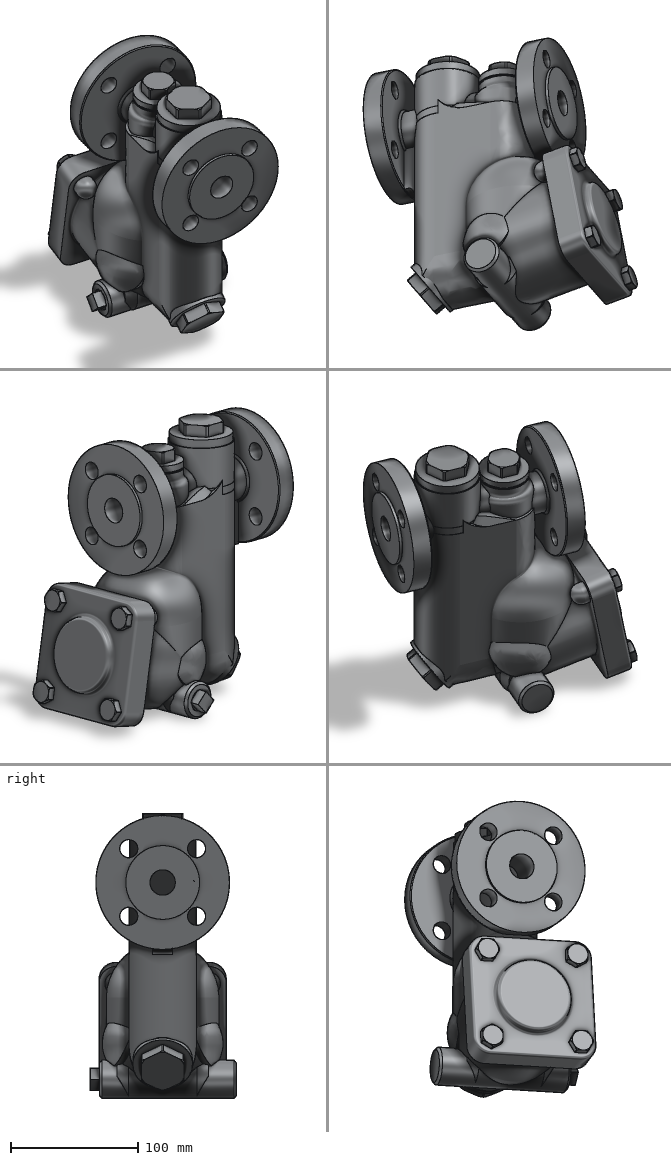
import cadquery as cq
import math


inlet_face_x = -50.0
outlet_face_x = 100.2
flange_diameter = 105.0
flange_thickness = 15.9
flange_rounding = 1.0
raised_face_diameter = 58.0
raised_face_height = 2.5
port_diameter = 20.0
port_depth = 44.7
bolt_circle_diameter = 75.1
bolt_hole_diameter = 14.0
inlet_neck_diameter = 33.3
outlet_neck_diameter = 36.7
neck_flare = 1.8

tower_spacing = 47.9
tower_half_width = 26.4
inlet_tower_reach = 24.0
inlet_head_radius = 23.7
outlet_head_diameter = 52.0
tower_side_top_z = -1.3
web_middle_x = 22.1
web_middle_z = 5.1
web_peak_x = 45.2
web_peak_z = 10.5
tower_side_bottom_z = -129.5
tower_bottom_z = -161.0

cross_tube_radius = 15.7
cross_tube_z = 7.2

dome_radius = 44.3
dome_x = -14.3
dome_z = -90.5
dome_seam_fillet = 1.5
strainer_tilt = 10.0
skirt_z = -114.0
elbow_z = -123.5

cover_side = 100.0
cover_corner_radius = 13.5
cover_thickness = 9.6
cover_edge_rounding = 2.2
body_flange_thickness = 11.6
cover_distance = 68.6
cover_bolt_spacing = 73.1

drain_x = -4.7
drain_z = -154.5
drain_diameter = 30.0
drain_front_y = -49.6
drain_back_y = 58.0
drain_plug_y = -57.0
drain_chamfer = 2.0
drain_square_side = 12.5
drain_recess_diameter = 17.0
drain_recess_depth = 1.3

swell_radius = 38.0
swell_reach = 47.5
swell_rim_z = -120.7
swell_rim_radius = 24.1
swell_rim_x = -0.5
swell_x = -7.8
swell_z = -126.3

hex_chamfer_height = 0.7
hex_chamfer_inset = 1.1

plug_angle = 35.0
plug_seat_x = 60.4
plug_seat_z = -141.3


def cylinder(origin, direction, radius, length):
    return cq.Workplane(cq.Solid.makeCylinder(radius, length, cq.Vector(*origin), cq.Vector(*direction)))


def ball(center, radius):
    return cq.Workplane("XY").sphere(radius).translate(center)


def hex_head(across_flats, corner_diameter, height, turn=0):
    """Hexagonal head standing on the XY plane, its corners trimmed to a circle."""
    prism = cq.Workplane("XY").polygon(6, across_flats / math.cos(math.radians(30))).extrude(height)
    rounds = cq.Workplane("XY").circle(corner_diameter / 2).extrude(height)
    rounds = rounds.faces(">Z").chamfer(hex_chamfer_height, hex_chamfer_inset)
    return prism.intersect(rounds).rotate((0, 0, 0), (0, 0, 1), turn)


def pipe_end(face_x, inward, neck_diameter, tower_x):
    """Flange with raised face and a neck to the tower; `inward` is +1 or -1 along X."""
    back = raised_face_height + flange_thickness
    reach = abs(tower_x - face_x)
    neck = neck_diameter / 2
    profile = (
        cq.Workplane("XY")
        .lineTo(0, raised_face_diameter / 2)
        .lineTo(raised_face_height, raised_face_diameter / 2)
        .lineTo(raised_face_height, flange_diameter / 2)
        .lineTo(back - flange_rounding, flange_diameter / 2)
        .lineTo(back, flange_diameter / 2 - flange_rounding)
        .lineTo(back, neck + neck_flare)
        .radiusArc((back + neck_flare, neck), neck_flare)
        .lineTo(reach, neck)
        .lineTo(reach, 0)
        .close()
    )
    end = profile.revolve(360, (0, 0, 0), (1, 0, 0))
    holes = (
        cq.Workplane("YZ")
        .polarArray(bolt_circle_diameter / 2, 45, 360, 4)
        .circle(bolt_hole_diameter / 2)
        .extrude(back)
    )
    end = end.cut(holes)
    if inward < 0:
        end = end.mirror("YZ")
    return end.translate((face_x, 0, 0))


def port(face_x, inward):
    return cylinder((face_x, 0, 0), (inward, 0, 0), port_diameter / 2, port_depth)


def tower_outline():
    """Flat-sided web between a half ellipse at the inlet and a half circle at the outlet."""
    return (
        cq.Workplane("XY")
        .moveTo(0, tower_half_width)
        .lineTo(tower_spacing, tower_half_width)
        .threePointArc((tower_spacing + tower_half_width, 0), (tower_spacing, -tower_half_width))
        .lineTo(0, -tower_half_width)
        .ellipseArc(inlet_tower_reach, tower_half_width, 90, 270, sense=-1, startAtCurrent=True)
        .close()
    )


def tower_body():
    body = tower_outline().extrude(tower_side_top_z - tower_bottom_z).translate((0, 0, tower_bottom_z))
    underside_length = 134.2
    underside = (
        cq.Workplane("YZ", origin=(-underside_length / 2, 0, 0))
        .moveTo(tower_half_width, tower_side_bottom_z)
        .lineTo(tower_half_width, tower_side_top_z)
        .lineTo(-tower_half_width, tower_side_top_z)
        .lineTo(-tower_half_width, tower_side_bottom_z)
        .ellipseArc(tower_half_width, tower_side_bottom_z - tower_bottom_z, 180, 360, startAtCurrent=True)
        .close()
        .extrude(2 * underside_length)
    )
    return body.intersect(underside)


def web_side():
    """Upper end of the flat web sides, sweeping up toward the outlet tower."""
    web_sweep_x = 34.9
    web_sweep_z = 2.2
    return (
        cq.Workplane("XZ", origin=(0, tower_half_width, 0))
        .moveTo(web_middle_x, tower_side_top_z)
        .threePointArc((web_sweep_x, web_sweep_z), (web_peak_x, web_peak_z))
        .lineTo(web_peak_x, tower_side_top_z)
        .close()
        .extrude(2 * tower_half_width)
    )


def web_crest():
    """Crest rising from the inlet tower to the outlet tower, with sloping flanks."""
    crest_half_width = 17.9
    ridge = (
        cq.Workplane("XZ", origin=(0, tower_half_width, 0))
        .moveTo(0, tower_side_top_z)
        .lineTo(web_middle_x, web_middle_z)
        .lineTo(web_peak_x, web_peak_z)
        .lineTo(web_peak_x, tower_side_top_z)
        .close()
        .extrude(2 * tower_half_width)
    )
    flanks = (
        cq.Workplane("YZ")
        .moveTo(-tower_half_width, tower_side_top_z)
        .lineTo(-crest_half_width, web_peak_z)
        .lineTo(crest_half_width, web_peak_z)
        .lineTo(tower_half_width, tower_side_top_z)
        .close()
        .extrude(tower_spacing)
    )
    return ridge.intersect(flanks)


def inlet_tower_head():
    """Upper end of the inlet tower with its plug."""
    shoulder_z = 11.0
    neck_radius = 20.0
    neck_bottom_z = 19.7
    flare_radius = 21.0
    flare_z = 16.8
    neck_top_z = 24.8
    cap_bottom_z = 26.0
    cap_top_z = 31.5
    groove_radius = 19.0
    hex_across_flats = 24.0
    hex_corner_diameter = 26.8
    hex_height = 9.6
    return (
        cq.Workplane("XZ")
        .moveTo(0, tower_side_top_z)
        .lineTo(inlet_head_radius, tower_side_top_z)
        .lineTo(inlet_head_radius, shoulder_z)
        .radiusArc((flare_radius, flare_z), -6.7)
        .radiusArc((neck_radius, neck_bottom_z), 4.5)
        .lineTo(neck_radius, neck_top_z)
        .lineTo(groove_radius, neck_top_z)
        .lineTo(groove_radius, cap_bottom_z)
        .lineTo(neck_radius, cap_bottom_z)
        .lineTo(neck_radius, cap_top_z)
        .lineTo(0, cap_top_z)
        .close()
        .revolve(360, (0, 0, 0), (0, 1, 0))
        .union(hex_head(hex_across_flats, hex_corner_diameter, hex_height).translate((0, 0, cap_top_z)))
    )


def outlet_tower_head():
    head_top_z = 38.0
    cap_diameter = 50.0
    cap_top_z = 44.7
    hex_top_z = 54.0
    hex_across_flats = 32.0
    hex_corner_diameter = 35.8
    outlet_base_radius = 26.2
    base_height = web_middle_z - tower_side_top_z
    head_radius = outlet_head_diameter / 2
    head = cylinder((0, 0, tower_side_top_z), (0, 0, 1), outlet_base_radius, base_height)
    head = head.union(cylinder((0, 0, web_middle_z), (0, 0, 1), head_radius, head_top_z - web_middle_z))
    head = head.union(cylinder((0, 0, head_top_z), (0, 0, 1), cap_diameter / 2, cap_top_z - head_top_z))
    hexagon = hex_head(hex_across_flats, hex_corner_diameter, hex_top_z - cap_top_z)
    head = head.union(hexagon.translate((0, 0, cap_top_z)))
    return head.translate((tower_spacing, 0, 0))


def outlet_rib():
    """Upright rib between the outlet tower and its flange, its foot curving into the tower."""
    thickness = 15.7
    foot_radius = 4.0
    end_x = outlet_face_x - raised_face_height - flange_thickness
    bottom_z = -flange_diameter / 2
    foot_x = tower_spacing + tower_half_width
    return (
        cq.Workplane("XZ", origin=(0, thickness / 2, 0))
        .moveTo(tower_spacing, 0)
        .lineTo(end_x, 0)
        .lineTo(end_x, bottom_z)
        .lineTo(foot_x + foot_radius, bottom_z)
        .radiusArc((foot_x, bottom_z - foot_radius), -foot_radius)
        .lineTo(tower_spacing, bottom_z - foot_radius)
        .close()
        .extrude(thickness)
    )


def tilted_plug(shape):
    """Turn a shape built along +Z so that it points outward along the clean-out axis."""
    return shape.rotate((0, 0, 0), (0, 1, 0), 90 + plug_angle).translate((plug_seat_x, 0, plug_seat_z))


def clean_out():
    disc_radius = 23.5
    plug_across_flats = 33.5
    plug_corner_diameter = 38.0
    plug_head_height = 9.2
    buried_depth = 4.5
    disc_thickness = 2.7
    disc = cylinder((0, 0, -buried_depth), (0, 0, 1), disc_radius, buried_depth + disc_thickness)
    head = hex_head(plug_across_flats, plug_corner_diameter, plug_head_height)
    head = head.translate((0, 0, disc_thickness))
    return tilted_plug(disc.union(head))


def corner_waste():
    size = 134.2
    return tilted_plug(cq.Workplane("XY").box(size, size, size, centered=(True, True, False)))


def tilted_strainer(shape):
    """Turn a shape built along +Z from the elbow so that it points along the strainer axis."""
    return shape.rotate((0, 0, 0), (0, 1, 0), strainer_tilt - 90).translate((dome_x, 0, elbow_z))


def dome():
    shape = ball((dome_x, 0, dome_z), dome_radius)
    upper_half = cylinder((dome_x, 0, dome_z), (0, 0, 1), dome_radius, dome_radius)
    skirt = cylinder((dome_x, 0, skirt_z), (0, 0, 1), dome_radius, dome_z - skirt_z)
    return shape.intersect(upper_half).union(skirt)


def elbow():
    """Round lower end of the dome, where the strainer barrel branches off."""
    shape = cylinder((dome_x, 0, elbow_z), (0, 0, 1), dome_radius, skirt_z - elbow_z)
    return shape.union(ball((dome_x, 0, elbow_z), dome_radius))


def square_plate(thickness):
    plate = cq.Workplane("XY").rect(cover_side, cover_side).extrude(thickness)
    return plate.edges("|Z").fillet(cover_corner_radius)


def strainer():
    barrel_flare = 1.8
    flange_z = cover_distance - cover_thickness - body_flange_thickness
    shape = (
        cq.Workplane("XZ")
        .lineTo(dome_radius, 0)
        .lineTo(dome_radius, flange_z - barrel_flare)
        .radiusArc((dome_radius + barrel_flare, flange_z), barrel_flare)
        .lineTo(0, flange_z)
        .close()
        .revolve(360, (0, 0, 0), (0, 1, 0))
    )
    shape = shape.union(square_plate(body_flange_thickness).translate((0, 0, flange_z)))
    cover = square_plate(cover_thickness).faces(">Z").edges().fillet(cover_edge_rounding)
    cover = cover.union(cover_disc().translate((0, 0, cover_thickness)))
    shape = shape.union(cover.translate((0, 0, cover_distance - cover_thickness)))
    half = cover_bolt_spacing / 2
    bolt_across_flats = 16.5
    bolt_corner_diameter = 18.8
    bolt_head_height = 6.3
    for x, y, turn in ((half, half, 30), (half, -half, 0), (-half, half, 0), (-half, -half, 30)):
        head = hex_head(bolt_across_flats, bolt_corner_diameter, bolt_head_height, turn)
        shape = shape.union(head.translate((x, y, cover_distance)))
    boss_radius = 8.7
    boss_length = 4.0
    for y in (half, -half):
        boss = cylinder((half, y, flange_z), (0, 0, -1), boss_radius, boss_length)
        boss = boss.union(ball((half, y, flange_z - boss_length), boss_radius))
        shape = shape.union(boss)
    return tilted_strainer(shape)


def cover_disc():
    """Raised round center of the cover with a hollow foot and a rounded rim."""
    blend = 3.0
    foot_radius = 33.0
    return (
        cq.Workplane("XZ")
        .lineTo(foot_radius, 0)
        .radiusArc((foot_radius - blend, blend), blend)
        .radiusArc((foot_radius - 2 * blend, 2 * blend), -blend)
        .lineTo(0, 2 * blend)
        .close()
        .revolve(360, (0, 0, 0), (0, 1, 0))
    )


def swell():
    """Spheroid stretched along Y that swells the body above the drain, within a round rim on both sides."""
    spheroid = (
        cq.Workplane("XY")
        .moveTo(0, -swell_reach)
        .ellipseArc(swell_radius, swell_reach, -90, 90, startAtCurrent=True)
        .close()
        .revolve(360, (0, 0, 0), (0, 1, 0))
        .translate((swell_x, 0, swell_z))
    )
    rim = cylinder((swell_rim_x, -swell_reach, swell_rim_z), (0, 1, 0), swell_rim_radius, 2 * swell_reach)
    return spheroid.intersect(rim)


def drain():
    front_center = (drain_x, drain_front_y, drain_z)
    boss = cylinder(front_center, (0, 1, 0), drain_diameter / 2, drain_back_y - drain_front_y)
    boss = boss.faces("<Y or >Y").chamfer(drain_chamfer)
    recess_y = drain_front_y + drain_recess_depth
    square = (
        cq.Workplane("XZ", origin=(drain_x, recess_y, drain_z))
        .transformed(rotate=(0, 0, 45))
        .rect(drain_square_side, drain_square_side)
        .extrude(recess_y - drain_plug_y)
    )
    recess = cylinder(front_center, (0, 1, 0), drain_recess_diameter / 2, drain_recess_depth)
    root_rise = 4.5
    root_inner_y = 26.8
    root_outer_y = 35.8
    root_radius = 19.0
    root = (
        cq.Workplane("XY")
        .moveTo(0, -root_outer_y)
        .lineTo(drain_diameter / 2, -root_outer_y)
        .lineTo(root_radius, -root_inner_y)
        .lineTo(root_radius, root_inner_y)
        .lineTo(drain_diameter / 2, root_outer_y)
        .lineTo(0, root_outer_y)
        .close()
        .revolve(360, (0, 0, 0), (0, 1, 0))
        .translate((drain_x, 0, drain_z + root_rise))
    )
    return boss.union(root).cut(recess).union(square)


result = tower_body().cut(corner_waste()).union(dome())
seam_point = (-inlet_tower_reach, 0, dome_z + dome_radius)
result = result.edges(cq.NearestToPointSelector(seam_point)).fillet(dome_seam_fillet)
result = result.union(elbow())
result = result.union(strainer())
result = result.union(swell())
result = result.union(drain())
result = result.union(inlet_tower_head()).union(outlet_tower_head())
result = result.union(web_side()).union(web_crest())
result = result.union(clean_out())
result = result.union(cylinder((0, 0, cross_tube_z), (1, 0, 0), cross_tube_radius, tower_spacing))
result = result.union(outlet_rib())
result = result.union(pipe_end(inlet_face_x, 1, inlet_neck_diameter, 0))
result = result.union(pipe_end(outlet_face_x, -1, outlet_neck_diameter, tower_spacing))
result = result.cut(port(inlet_face_x, 1)).cut(port(outlet_face_x, -1))